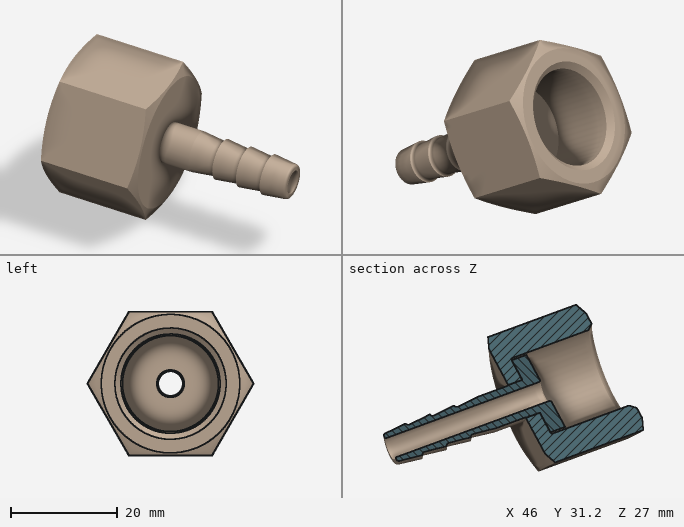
import cadquery as cq
import math


total_length = 46.0

nut_length = 20.0
across_flats = 27.0
corner_diameter = across_flats / math.cos(math.radians(30))
end_face_diameter = 26.0
corner_chamfer_angle = 20.0
corner_chamfer_length = (corner_diameter - end_face_diameter) / 2 * math.tan(math.radians(corner_chamfer_angle))
thread_diameter = 18.65
mouth_diameter = 20.9
mouth_chamfer = (mouth_diameter - thread_diameter) / 2
end_wall = 3.0
thread_depth = nut_length - end_wall

flange_diameter = 18.0
flange_thickness = 3.0
neck_diameter = 8.0
bore_diameter = 4.6
bore_chamfer = 0.28
barb_count = 4
barb_start = 26.15
barb_pitch = (total_length - barb_start) / barb_count
barb_height = 0.6
barb_fillet = 0.5
flange_start = thread_depth - flange_thickness
neck_radius = neck_diameter / 2
root_radius = neck_radius - barb_height


def cylinder(start, length, diameter):
    """Solid cylinder along +X from X = start."""
    return cq.Workplane("YZ", origin=(start, 0, 0)).circle(diameter / 2).extrude(length)


def chamfered_envelope():
    """Turned shape that trims the corners of the hexagon at both ends."""
    face_radius = end_face_diameter / 2
    corner_radius = corner_diameter / 2
    return (
        cq.Workplane("XY")
        .moveTo(0, 0)
        .lineTo(0, face_radius)
        .lineTo(corner_chamfer_length, corner_radius)
        .lineTo(nut_length - corner_chamfer_length, corner_radius)
        .lineTo(nut_length, face_radius)
        .lineTo(nut_length, 0)
        .close()
        .revolve(360, (0, 0, 0), (1, 0, 0))
    )


def make_nut():
    """Hexagonal nut with two corners on the Y axis and flats facing +Z and -Z."""
    hexagon = cq.Workplane("YZ").polygon(6, corner_diameter).extrude(nut_length)
    body = hexagon.intersect(chamfered_envelope())
    thread_bore = cylinder(0, thread_depth, thread_diameter)
    neck_hole = cylinder(thread_depth, end_wall, neck_diameter)
    body = body.cut(thread_bore).cut(neck_hole)
    mouth_edge = body.faces("<X").edges("%CIRCLE").edges(cq.selectors.RadiusNthSelector(0))
    return mouth_edge.chamfer(mouth_chamfer)


def make_nipple():
    """Flanged tube with a row of barbs that taper towards the free end."""
    profile = (
        cq.Workplane("XZ")
        .moveTo(flange_start, 0)
        .lineTo(flange_start, flange_diameter / 2)
        .lineTo(thread_depth, flange_diameter / 2)
        .lineTo(thread_depth, neck_radius)
        .lineTo(barb_start, neck_radius)
    )
    for barb in range(barb_count):
        start = barb_start + barb * barb_pitch
        if barb > 0:
            profile = profile.lineTo(start, neck_radius)
        profile = profile.lineTo(start + barb_pitch, root_radius)
    body = profile.lineTo(total_length, 0).close().revolve(360, (0, 0, 0), (1, 0, 0))

    small_circles = body.edges("%CIRCLE").edges(cq.selectors.RadiusNthSelector(0))
    body = small_circles.fillet(barb_fillet)

    bore = cylinder(flange_start, total_length - flange_start, bore_diameter)
    body = body.cut(bore)
    bore_rim = body.faces("<X").edges(cq.selectors.RadiusNthSelector(0))
    return bore_rim.chamfer(bore_chamfer)


nut = make_nut()
nipple = make_nipple()

result = cq.Compound.makeCompound([nut.val(), nipple.val()])